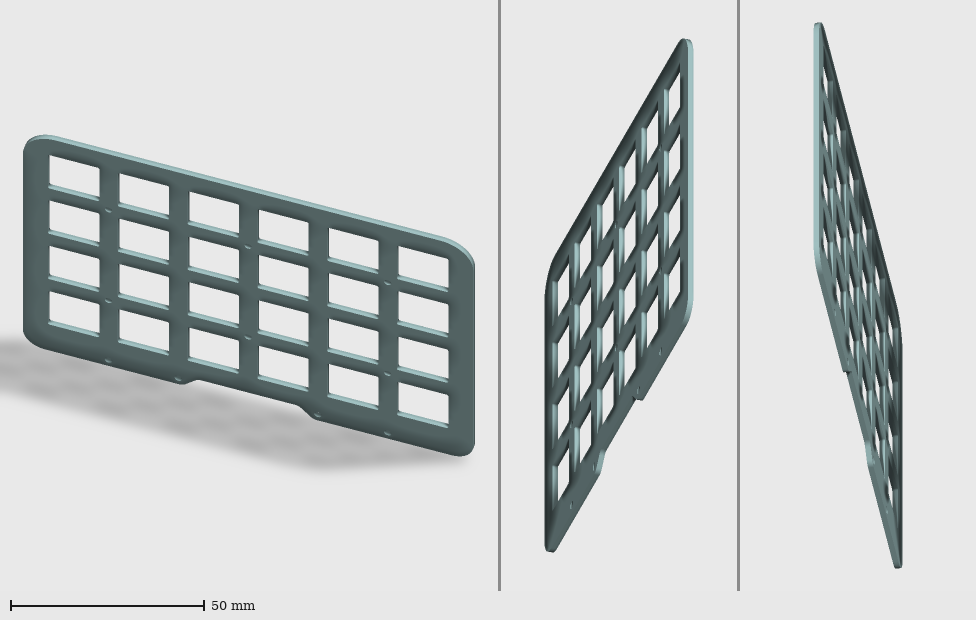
import cadquery as cq

width = 122.8
thickness = 1.5
height = 88.8
top_corner_radius = 9.0
bottom_corner_radius = 5.9

columns = 6
rows = 4
pitch = 19.0
window_size = 14.0
window_corner_radius = 0.5

grid_width = (columns - 1) * pitch + window_size
top_margin = (width - grid_width) / 2
top_row_z = height / 2 - top_margin - window_size / 2

grid_hole_diameter = 2.0
edge_hole_diameter = 2.1
edge_hole_inset = 2.5

notch_depth = 4.0
notch_mouth_width = 35.6
notch_corner_radius = 2.5


def plate_blank():
    """Plate centred on the origin with large top and smaller bottom corners."""
    blank = cq.Workplane("XY").box(width, thickness, height)
    blank = blank.edges("|Y and >Z").fillet(top_corner_radius)
    return blank.edges("|Y and <Z").fillet(bottom_corner_radius)


def cut_notch(plate):
    """Cut the bottom notch and round its two inner and two outer corners."""
    bottom_z = -height / 2
    floor_z = bottom_z + notch_depth
    half_mouth = notch_mouth_width / 2
    half_floor = half_mouth - notch_depth
    corners = [
        (-half_mouth, bottom_z),
        (-half_floor, floor_z),
        (half_floor, floor_z),
        (half_mouth, bottom_z),
    ]
    notch = cq.Workplane("XZ").polyline(corners).close().extrude(thickness / 2, both=True)
    plate = plate.cut(notch)
    for x, z in corners:
        plate = plate.edges(cq.selectors.NearestToPointSelector((x, 0, z))).fillet(notch_corner_radius)
    return plate


def window_cutters():
    """Square through windows with slightly rounded corners."""
    left_column_x = -(columns - 1) * pitch / 2
    centres = [
        (left_column_x + column * pitch, top_row_z - row * pitch)
        for column in range(columns)
        for row in range(rows)
    ]
    windows = cq.Workplane("XZ").pushPoints(centres).rect(window_size, window_size)
    return windows.extrude(thickness / 2, both=True).edges("|Y").fillet(window_corner_radius)


def hole_cutters(centres, diameter):
    """Round through holes at the given (x, z) centres."""
    return cq.Workplane("XZ").pushPoints(centres).circle(diameter / 2).extrude(thickness / 2, both=True)


grid_hole_centres = [
    (x, top_row_z - row_gap * pitch)
    for x in (-2 * pitch, 0, 2 * pitch)
    for row_gap in (0.5, 2.5)
]
edge_hole_z = -height / 2 + edge_hole_inset
edge_hole_centres = [(step * pitch, edge_hole_z) for step in (-2, -1, 1, 2)]

result = cut_notch(plate_blank())
result = result.cut(window_cutters())
result = result.cut(hole_cutters(grid_hole_centres, grid_hole_diameter))
result = result.cut(hole_cutters(edge_hole_centres, edge_hole_diameter))